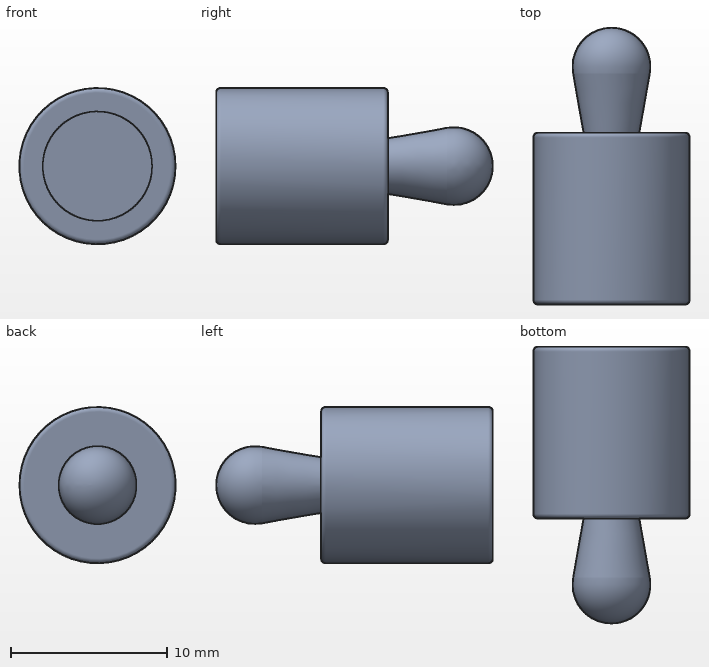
import cadquery as cq
import math

total_length = 17.7
body_diameter = 10.0
body_length = 11.0
edge_radius = 0.3
recess_diameter = 7.0
recess_depth = 0.5
ball_diameter = 5.0
neck_half_angle = math.radians(10)

body_radius = body_diameter / 2
ball_radius = ball_diameter / 2
body_front = -total_length / 2
body_back = body_front + body_length
tip = total_length / 2
ball_center = tip - ball_radius

tangent_radius = ball_radius * math.cos(neck_half_angle)
tangent_y = ball_center - ball_radius * math.sin(neck_half_angle)
neck_radius = tangent_radius - (tangent_y - body_back) * math.tan(neck_half_angle)


def make_body():
    """Cylinder with rounded rims and a shallow round recess in its front face."""
    body = (
        cq.Workplane("XZ", origin=(0, body_front, 0))
        .circle(body_radius)
        .extrude(-body_length)
        .edges()
        .fillet(edge_radius)
    )
    recess = (
        cq.Workplane("XZ", origin=(0, body_front, 0))
        .circle(recess_diameter / 2)
        .extrude(-recess_depth)
    )
    return body.cut(recess)


def make_ball_pin():
    """Ball-ended pin, revolved about Y, whose root is sunk into the body."""
    root_y = body_back - edge_radius
    return (
        cq.Workplane("XY")
        .moveTo(0, root_y)
        .lineTo(neck_radius, root_y)
        .lineTo(neck_radius, body_back)
        .lineTo(tangent_radius, tangent_y)
        .threePointArc(
            (ball_radius * math.cos(math.pi / 4), ball_center + ball_radius * math.sin(math.pi / 4)),
            (0, tip),
        )
        .close()
        .revolve(360, (0, 0, 0), (0, 1, 0))
    )


result = make_body().union(make_ball_pin())